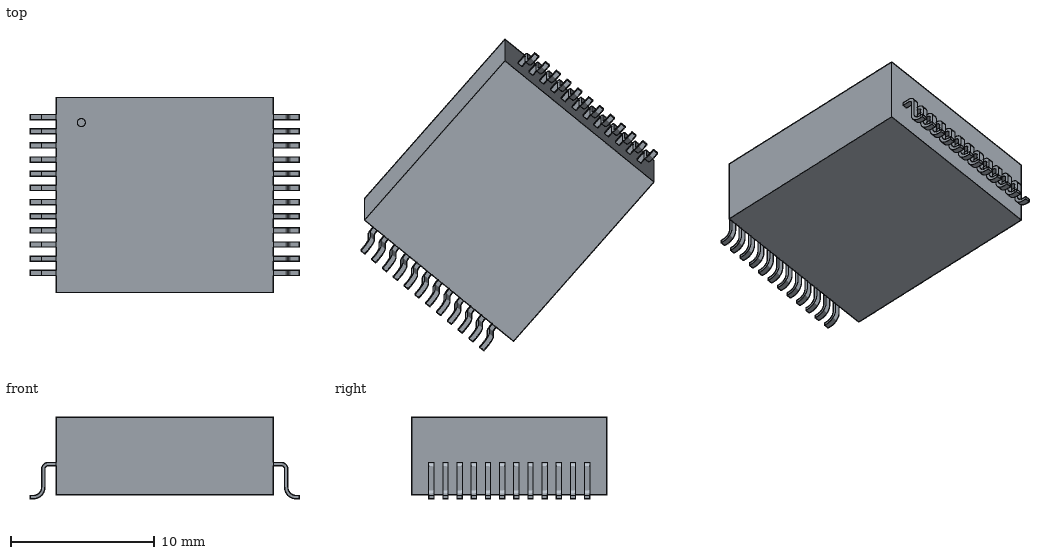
import cadquery as cq

overall_length = 18.8
overall_height = 5.72

body_length = 15.19
body_width = 13.65
body_standoff = 0.28

mark_diameter = 0.56
mark_inset = 1.77
mark_depth = 0.2

leads_per_side = 12
lead_row_span = 10.89
lead_width = 0.38
lead_thickness = 0.25
shoulder_height = 2.55
foot_length = 0.23
foot_bend_radius = 0.56
shoulder_bend_radius = 0.25

lead_pitch = lead_row_span / (leads_per_side - 1)
half_body = body_length / 2
half_overall = overall_length / 2


def make_body():
    """Plain block with the pin 1 recess in its top face."""
    body_height = overall_height - body_standoff
    body = cq.Workplane("XY").workplane(offset=body_standoff).box(
        body_length, body_width, body_height, centered=(True, True, False)
    )
    mark = (
        cq.Workplane("XY")
        .workplane(offset=overall_height - mark_depth)
        .center(-half_body + mark_inset, body_width / 2 - mark_inset)
        .circle(mark_diameter / 2)
        .extrude(mark_depth)
    )
    return body.cut(mark)


def make_lead():
    """One lead on the -X side, centred on Y = 0, bent from strip of constant thickness."""
    foot_outer_radius = foot_bend_radius + lead_thickness
    shoulder_outer_radius = shoulder_bend_radius + lead_thickness
    tip_x = -half_overall
    foot_end_x = tip_x + foot_length
    leg_outer_x = foot_end_x + foot_bend_radius
    leg_inner_x = leg_outer_x + lead_thickness
    shoulder_start_x = leg_outer_x + shoulder_outer_radius
    leg_top_z = shoulder_height - shoulder_outer_radius
    shoulder_underside_z = shoulder_height - lead_thickness

    profile = (
        cq.Workplane("XZ")
        .moveTo(tip_x, 0)
        .lineTo(foot_end_x, 0)
        .tangentArcPoint((leg_inner_x, foot_outer_radius), relative=False)
        .lineTo(leg_inner_x, leg_top_z)
        .tangentArcPoint((shoulder_start_x, shoulder_underside_z), relative=False)
        .lineTo(-half_body, shoulder_underside_z)
        .lineTo(-half_body, shoulder_height)
        .lineTo(shoulder_start_x, shoulder_height)
        .tangentArcPoint((leg_outer_x, leg_top_z), relative=False)
        .lineTo(leg_outer_x, foot_outer_radius)
        .tangentArcPoint((foot_end_x, lead_thickness), relative=False)
        .lineTo(tip_x, lead_thickness)
        .close()
    )
    return profile.extrude(lead_width / 2, both=True)


left_lead = make_lead()
right_lead = left_lead.mirror("YZ")

result = make_body()
for index in range(leads_per_side):
    lead_y = index * lead_pitch - lead_row_span / 2
    result = result.union(left_lead.translate((0, lead_y, 0)))
    result = result.union(right_lead.translate((0, lead_y, 0)))